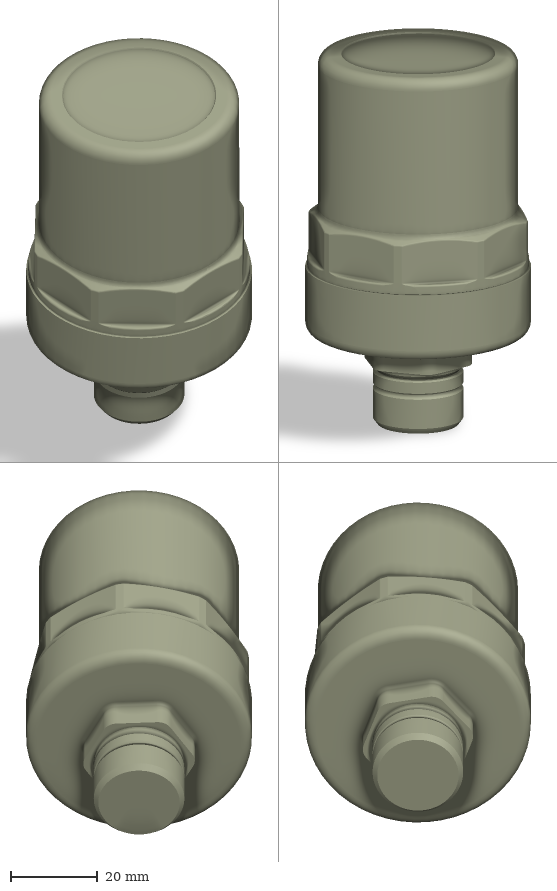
import cadquery as cq
import math

TOTAL_HEIGHT = 88.5

STUD_RADIUS = 10.4
STUD_TIP_HEIGHT = 1.4
STUD_TIP_INSET = 1.1
RING_BOTTOM = 9.8
RING_TOP = 12.5
RING_LIP = 0.35
GROOVE_WIDTH = 1.4
GROOVE_DEPTH = 0.9

HEX_BOTTOM = 15.0
HEX_ACROSS_FLATS = 23.2
HEX_CORNER_RADIUS = 3.45
HEX_ROOT_RADIUS = 0.8

BASE_BOTTOM = 21.95
BASE_TOP = 37.7
BASE_RADIUS = 26.0
BASE_FILLET = 2.5

COLLAR_RADIUS = 25.6
COLLAR_UNDERCUT_DEPTH = 0.4
COLLAR_UNDERCUT_HEIGHT = 0.2
COLLAR_EDGE_TOP = 49.5
COLLAR_CONE_ANGLE = 30.0
FLAT_COUNT = 8
FLAT_APOTHEM = 24.0
FLAT_FLOOR = 40.1
FLAT_FILLET = 0.4

CASE_RADIUS = 23.1
CASE_FILLET = 2.65
CASE_ROOT_RADIUS = 1.2
RECESS_RADIUS = 17.8
RECESS_FLOOR_RADIUS = 17.5
RECESS_DEPTH = 0.35

SELECT_MARGIN = 0.1

CONE_SLOPE = math.tan(math.radians(COLLAR_CONE_ANGLE))
COLLAR_CONE_TOP = COLLAR_EDGE_TOP + (COLLAR_RADIUS - CASE_RADIUS) * CONE_SLOPE
FLAT_TOP = COLLAR_EDGE_TOP + (COLLAR_RADIUS - FLAT_APOTHEM) * CONE_SLOPE


def cylinder(radius, bottom, top):
    return cq.Workplane("XY").workplane(offset=bottom).circle(radius).extrude(top - bottom)


def turned(profile):
    """Revolve a closed (radius, height) profile about the Z axis."""
    return cq.Workplane("XZ").polyline(profile).close().revolve(360, (0, 0, 0), (0, 1, 0))


def edges_within(reach, bottom, top):
    """Select the edges lying wholly inside a square box centred on the axis."""
    return cq.selectors.BoxSelector(
        (-reach, -reach, bottom - SELECT_MARGIN),
        (reach, reach, top + SELECT_MARGIN),
        boundingbox=True,
    )


def make_groove(ring_face, direction):
    """Cutter for a groove beside the stud ring, opening along Z away from the ring.

    The ring edge has a small lip chamfer; the far side of the groove is a 45 degree cone.
    """
    root = STUD_RADIUS - GROOVE_DEPTH
    lip_radius = STUD_RADIUS - RING_LIP
    lip_end = ring_face + direction * RING_LIP
    far_edge = ring_face + direction * GROOVE_WIDTH
    outside = STUD_RADIUS + RING_LIP
    return turned([
        (outside, ring_face),
        (STUD_RADIUS, ring_face),
        (lip_radius, lip_end),
        (root, lip_end),
        (root, far_edge - direction * GROOVE_DEPTH),
        (STUD_RADIUS, far_edge),
        (outside, far_edge),
    ])


def make_stud():
    stud = cylinder(STUD_RADIUS, 0, HEX_BOTTOM)
    stud = stud.faces("<Z").edges().chamfer(STUD_TIP_HEIGHT, STUD_TIP_INSET)
    return stud.cut(make_groove(RING_BOTTOM, -1)).cut(make_groove(RING_TOP, 1))


def make_hexagon():
    across_corners = HEX_ACROSS_FLATS / math.cos(math.pi / 6)
    return (
        cq.Workplane("XY")
        .workplane(offset=HEX_BOTTOM)
        .polygon(6, across_corners)
        .extrude(BASE_BOTTOM - HEX_BOTTOM)
        .edges("|Z")
        .fillet(HEX_CORNER_RADIUS)
    )


def make_base_on_hexagon():
    """Round base with the hexagon below it, blended where they meet."""
    base = cylinder(BASE_RADIUS, BASE_BOTTOM, BASE_TOP).faces("<Z").edges().fillet(BASE_FILLET)
    hex_root = edges_within(HEX_ACROSS_FLATS, BASE_BOTTOM, BASE_BOTTOM)
    return base.union(make_hexagon()).edges(hex_root).fillet(HEX_ROOT_RADIUS)


def make_turned_housing():
    """Collar and case as one turned body, before the flats are milled."""
    recess_floor = TOTAL_HEIGHT - RECESS_DEPTH
    housing = turned([
        (0, BASE_TOP),
        (COLLAR_RADIUS - COLLAR_UNDERCUT_DEPTH, BASE_TOP),
        (COLLAR_RADIUS, BASE_TOP + COLLAR_UNDERCUT_HEIGHT),
        (COLLAR_RADIUS, COLLAR_EDGE_TOP),
        (CASE_RADIUS, COLLAR_CONE_TOP),
        (CASE_RADIUS, TOTAL_HEIGHT),
        (RECESS_RADIUS, TOTAL_HEIGHT),
        (RECESS_FLOOR_RADIUS, recess_floor),
        (0, recess_floor),
    ])
    case_root = edges_within(COLLAR_RADIUS, COLLAR_CONE_TOP, COLLAR_CONE_TOP)
    housing = housing.edges(case_root).fillet(CASE_ROOT_RADIUS)
    case_rim = cq.selectors.RadiusNthSelector(-1)
    return housing.faces(">Z").edges(case_rim).fillet(CASE_FILLET)


def make_housing():
    """Mill the flats into the collar and round all their edges."""
    housing = make_turned_housing()
    cutter = (
        cq.Workplane("XY")
        .box(COLLAR_RADIUS, 2 * COLLAR_RADIUS, TOTAL_HEIGHT, centered=(False, True, False))
        .translate((FLAT_APOTHEM, 0, FLAT_FLOOR))
    )
    for i in range(FLAT_COUNT):
        housing = housing.cut(cutter.rotate((0, 0, 0), (0, 0, 1), i * 360 / FLAT_COUNT))
    flat_outlines = edges_within(2 * COLLAR_RADIUS, FLAT_FLOOR, FLAT_TOP)
    return housing.edges(flat_outlines).fillet(FLAT_FILLET)


result = make_stud().union(make_base_on_hexagon()).union(make_housing())